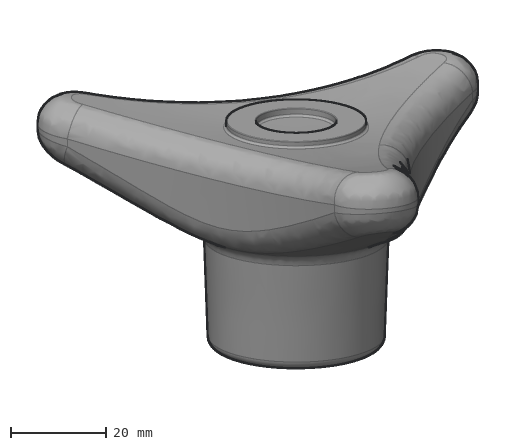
import cadquery as cq
import math

total_height = 52.29

lobe_count = 3
first_lobe_angle = math.pi / 2
lobe_radius = 9.49
lobe_center_radius = 45.51
waist_radius = 25.4

dish_radius = 240
underside_angle = 24.5
rim_fillet = 6
underside_fillet = 6

hub_neck_radius = 19.4
hub_neck_height = 23.4
hub_draft = 2
hub_neck_fillet = 3
hub_bottom_fillet = 2

ring_outer_radius = 29.46 / 2
ring_inner_radius = 16.96 / 2
ring_top_height = 49.3
ring_edge_fillet = 0.15
ring_base_fillet = 0.5

edge_margin = 0.1

half_pitch = math.pi / lobe_count
lobe_half_spacing = lobe_center_radius * math.sin(half_pitch)
lobe_mid_distance = lobe_center_radius * math.cos(half_pitch)
waist_offset = waist_radius - lobe_radius
side_center_radius = (lobe_half_spacing**2 + lobe_mid_distance**2 - waist_offset**2) / (
    2 * (lobe_mid_distance - waist_offset)
)

rim_top_radius = lobe_center_radius + lobe_radius - rim_fillet
dish_rise = (dish_radius + rim_fillet) - math.sqrt((dish_radius + rim_fillet) ** 2 - rim_top_radius**2)
dish_bottom_height = total_height - dish_rise
dish_center_height = dish_bottom_height + dish_radius

cone_slope = math.tan(math.radians(underside_angle))
hub_slope = math.tan(math.radians(hub_draft))
neck_turn = math.radians(90 - underside_angle - hub_draft)
neck_corner_height = hub_neck_height + hub_neck_fillet * math.tan(neck_turn / 2)
neck_corner_radius = hub_neck_radius + (neck_corner_height - hub_neck_height) * hub_slope
hub_bottom_radius = hub_neck_radius - hub_neck_height * hub_slope
cone_apex_height = neck_corner_height - neck_corner_radius * cone_slope
head_middle_height = (cone_apex_height + dish_bottom_height) / 2

blank_radius = lobe_center_radius + 2 * lobe_radius


def polar(radius, angle):
    return cq.Vector(radius * math.cos(angle), radius * math.sin(angle))


def dish_height(radius):
    return dish_center_height - math.sqrt(dish_radius**2 - radius**2)


def lobe_end(lobe_angle, side_angle):
    """Point where the lobe runs into the concave side centred at side_angle."""
    lobe_center = polar(lobe_center_radius, lobe_angle)
    to_side = polar(side_center_radius, side_angle) - lobe_center
    return lobe_center + to_side.normalized() * lobe_radius


def box_around_axis(half_width, low, high):
    return cq.selectors.BoxSelector((-half_width, -half_width, low), (half_width, half_width, high))


def head_outline():
    start = lobe_end(first_lobe_angle, first_lobe_angle - half_pitch)
    outline = cq.Workplane("XY").moveTo(start.x, start.y)
    for index in range(lobe_count):
        lobe_angle = first_lobe_angle + index * 2 * half_pitch
        side_angle = lobe_angle + half_pitch
        tip = polar(lobe_center_radius + lobe_radius, lobe_angle)
        side_start = lobe_end(lobe_angle, side_angle)
        waist = polar(waist_radius, side_angle)
        side_end = lobe_end(side_angle + half_pitch, side_angle)
        outline = outline.threePointArc((tip.x, tip.y), (side_start.x, side_start.y))
        outline = outline.threePointArc((waist.x, waist.y), (side_end.x, side_end.y))
    return outline.close()


def head_blank():
    """Turned shape between the underside cone and the dish."""
    middle_radius = blank_radius / 2
    return (
        cq.Workplane("XZ")
        .moveTo(0, cone_apex_height)
        .lineTo(blank_radius, cone_apex_height + blank_radius * cone_slope)
        .lineTo(blank_radius, dish_height(blank_radius))
        .threePointArc((middle_radius, dish_height(middle_radius)), (0, dish_bottom_height))
        .close()
        .revolve(360, (0, 0), (0, 1))
    )


def make_head():
    head = head_outline().extrude(2 * total_height).intersect(head_blank())
    dish_middle = cq.selectors.NearestToPointSelector((0, 0, dish_bottom_height))
    head = head.faces(dish_middle).edges().fillet(rim_fillet)
    return head.faces("<Z").edges().fillet(underside_fillet)


def make_hub():
    """Tapered hub whose closed top lies inside the head."""
    hub = (
        cq.Workplane("XZ")
        .lineTo(hub_bottom_radius, 0)
        .lineTo(neck_corner_radius, neck_corner_height)
        .lineTo(0, head_middle_height)
        .close()
        .revolve(360, (0, 0), (0, 1))
    )
    return hub.faces("<Z").edges().fillet(hub_bottom_fillet)


def make_ring():
    """Ring that starts inside the head and stands out of the dish."""
    ring = (
        cq.Workplane("XY")
        .workplane(offset=head_middle_height)
        .circle(ring_outer_radius)
        .circle(ring_inner_radius)
        .extrude(ring_top_height - head_middle_height)
    )
    return ring.faces(">Z").edges().fillet(ring_edge_fillet)


def make_knob():
    knob = make_head().union(make_hub())
    neck_corner = box_around_axis(
        neck_corner_radius + edge_margin,
        neck_corner_height - edge_margin,
        neck_corner_height + edge_margin,
    )
    knob = knob.edges(neck_corner).fillet(hub_neck_fillet)

    knob = knob.union(make_ring())
    ring_base = box_around_axis(
        ring_outer_radius + edge_margin,
        dish_bottom_height,
        dish_height(ring_outer_radius) + edge_margin,
    )
    return knob.edges(ring_base).fillet(ring_base_fillet)


knob = make_knob()

result = cq.Compound.makeCompound([knob.val()])